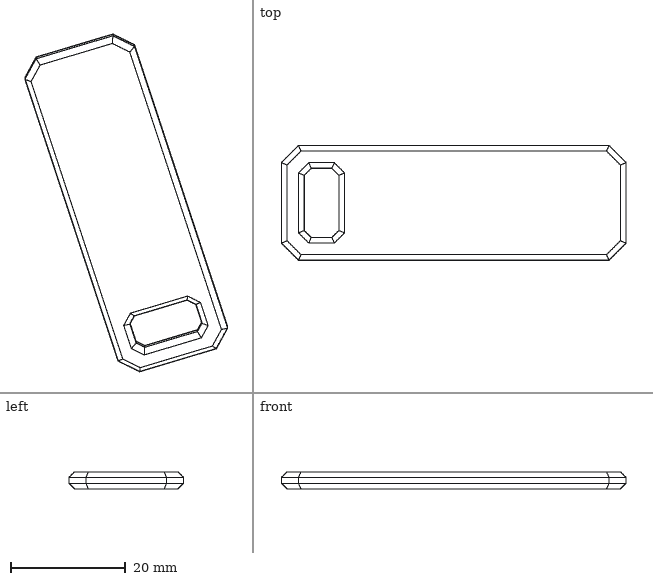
import cadquery as cq

plate_length = 60.0
plate_width = plate_length / 3
plate_thickness = plate_length / 20
corner_cut = plate_thickness
edge_bevel = plate_thickness / 3

slot_length = 6.0
slot_width = 12.0
slot_corner_cut = 1.2
rim_width = plate_thickness


def clipped_block(length, width, height, cut):
    """Box standing on Z = 0, with its four upright edges cut at 45 degrees."""
    return (
        cq.Workplane("XY")
        .box(length, width, height, centered=(True, True, False))
        .edges("|Z")
        .chamfer(cut)
    )


def make_plate():
    """Clipped-corner plate, bevelled around its top and bottom faces."""
    plate = clipped_block(plate_length, plate_width, plate_thickness, corner_cut)
    return plate.faces("<Z or >Z").edges().chamfer(edge_bevel)


def cut_slot(plate):
    """Through slot at the -X end, bevelled where it meets both faces."""
    slot_x = -plate_length / 2 + rim_width + edge_bevel + slot_length / 2
    slot = clipped_block(slot_length, slot_width, plate_thickness, slot_corner_cut)
    slot = slot.translate((slot_x, 0, 0))
    slot_zone = cq.selectors.BoxSelector(
        (slot_x - slot_length, -slot_width, -edge_bevel),
        (slot_x + slot_length, slot_width, plate_thickness + edge_bevel),
    )
    rim_faces = plate.cut(slot).faces("<Z or >Z")
    rim_edges = rim_faces.wires(slot_zone).edges()
    return rim_edges.chamfer(edge_bevel)


result = cut_slot(make_plate())